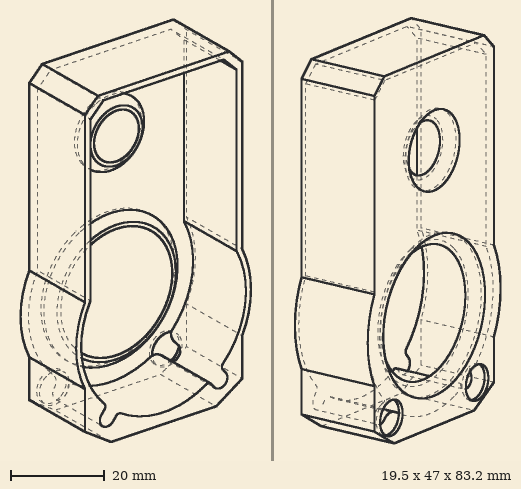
import cadquery as cq
import math

thickness = 19.5
height = 83.25
width = 42.3
ear_span = 47.0
ear_radius = ear_span / 2
bottom_z = -25.0
top_z = bottom_z + height
top_chamfer = 3.5
bottom_chamfer_y = 7.0
bottom_chamfer_z = 4.5

face_thickness = 1.0
side_wall = 1.5
cavity_radius = 22.15

bore_radius = 15.0
upper_hole_radius = 6.0
upper_hole_z = 37.05
cone_growth = 3.0
cone_depth = 3.0
collar_wall = 1.0

screw_y = 15.15
screw_z = -19.0
screw_radius = 2.0
screw_head_radius = 4.0
head_recess_depth = face_thickness
head_cone_depth = screw_head_radius - screw_radius
slot_mouth_fillet = 1.0


def cylinder(radius, length, x=0, y=0, z=0):
    """Cylinder along +X, starting at the given point."""
    return cq.Workplane(cq.Solid.makeCylinder(radius, length, cq.Vector(x, y, z), cq.Vector(1, 0, 0)))


def cone(start_radius, end_radius, length, x=0, y=0, z=0):
    """Cone along +X, starting at the given point."""
    return cq.Workplane(
        cq.Solid.makeCone(start_radius, end_radius, length, cq.Vector(x, y, z), cq.Vector(1, 0, 0))
    )


def make_body():
    half = width / 2
    plate = (
        cq.Workplane("YZ")
        .moveTo(-half, bottom_z + bottom_chamfer_z)
        .lineTo(-half, top_z - top_chamfer)
        .lineTo(-half + top_chamfer, top_z)
        .lineTo(half - top_chamfer, top_z)
        .lineTo(half, top_z - top_chamfer)
        .lineTo(half, bottom_z + bottom_chamfer_z)
        .lineTo(half - bottom_chamfer_y, bottom_z)
        .lineTo(-half + bottom_chamfer_y, bottom_z)
        .close()
        .extrude(thickness)
    )
    ears = cylinder(ear_radius, thickness)
    return plate.union(ears)


def make_cavity():
    """Round chamber merged with a rectangular one, with two screw slots."""
    depth = thickness - face_thickness
    upper_height = top_z - side_wall
    upper = (
        cq.Workplane("XY")
        .box(depth, width - 2 * side_wall, upper_height, centered=(False, True, False))
        .edges("|X and >Z")
        .chamfer(top_chamfer)
        .translate((face_thickness, 0, 0))
    )
    cavity = cylinder(cavity_radius, depth, face_thickness).union(upper)
    screw_distance = math.hypot(screw_y, screw_z)
    for side in (-1, 1):
        angle = math.degrees(math.atan2(screw_z, side * screw_y))
        slot = (
            cq.Workplane("XY")
            .box(depth, screw_distance, 2 * screw_radius, centered=(False, False, True))
            .rotate((0, 0, 0), (1, 0, 0), angle)
            .translate((face_thickness, 0, 0))
        )
        cavity = cavity.union(slot)
        cavity = cavity.union(cylinder(screw_radius, depth, face_thickness, side * screw_y, screw_z))
    return round_slot_mouths(cavity)


def round_slot_mouths(cavity):
    """Round the four edges where the slot sides meet the round chamber."""
    mouth_angle = math.asin(screw_radius / cavity_radius)
    for side in (-1, 1):
        slot_angle = math.atan2(screw_z, side * screw_y)
        for turn in (-mouth_angle, mouth_angle):
            mouth = (
                (thickness + face_thickness) / 2,
                cavity_radius * math.cos(slot_angle + turn),
                cavity_radius * math.sin(slot_angle + turn),
            )
            cavity = cavity.edges(cq.selectors.NearestToPointSelector(mouth)).fillet(slot_mouth_fillet)
    return cavity


def add_conical_opening(body, radius, z):
    """Add a conical collar behind the face and open it with a parallel cone."""
    outer_radius = radius + cone_growth
    collar = cone(outer_radius + collar_wall, radius + collar_wall, cone_depth, z=z)
    return body.union(collar).cut(cone(outer_radius, radius, cone_depth, z=z))


def cut_screw_hole(body, y):
    recess = cylinder(screw_head_radius, head_recess_depth, 0, y, screw_z)
    seat = cone(screw_head_radius, screw_radius, head_cone_depth, head_recess_depth, y, screw_z)
    shank = cylinder(screw_radius, thickness, 0, y, screw_z)
    return body.cut(recess).cut(seat).cut(shank)


result = make_body().cut(make_cavity())
result = add_conical_opening(result, bore_radius, 0)
result = add_conical_opening(result, upper_hole_radius, upper_hole_z)
for hole_y in (-screw_y, screw_y):
    result = cut_screw_hole(result, hole_y)